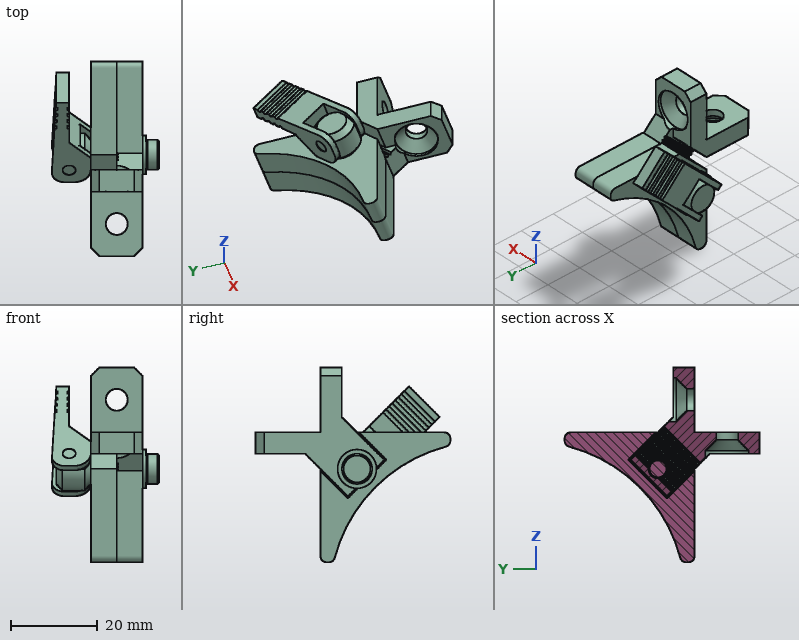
import cadquery as cq
import math

ACROSS = (1, 0, 0)
ALONG = (0, -1, -1)
DEPTH = (0, 1, -1)
AGAINST_ALONG = (0, 1, 1)

jaw_thickness = 6.0
jaw_length = 30.11
jaw_corner_cut = 12.0
tube_radius = 36.0
tube_axis_depth = 54.0
jaw_tip_radius = 1.5
stack_width = 2 * jaw_thickness

leg_thickness = 5.0
leg_length = 15.0
leg_chamfer = 2.0
leg_hole_diameter = 5.0
leg_hole_inset = 7.5
leg_bore_length = 1.8
sink_diameter = 10.0
tongue_width = 12.0
tongue_end_depth = 15.0
tongue_clearance = 0.3

tooth_pitch = 0.96
tooth_half_width = 0.38
tooth_height = 0.4
first_tooth_place = 4.47
tooth_count = int((tongue_end_depth - first_tooth_place) / tooth_pitch)

screw_depth = 12.0
screw_diameter = 4.0
screw_head_diameter = 7.0
screw_head_height = 3.0
screw_head_chamfer = 0.4
screw_tip_x = -3.0
clearance_diameter = 4.3
washer_diameter = 9.0
washer_thickness = 0.8

barrel_diameter = 10.0
barrel_length = 8.0
barrel_chamfer = 1.4
barrel_flat_width = 7.0
pin_diameter = 3.0
pin_x = -5.0
pin_protrusion = 0.25

lever_width = 10.0
lever_reach = 22.0
lever_grip_thickness = 3.0
lever_tip_x = -8.0
lever_back_x = -9.0
back_corner_radius = 3.0
cam_corner_radius = 4.0
fork_end = 4.0
window_back_end = -6.0
window_front_end = -6.6
grip_groove_diameter = 1.0
grip_groove_pitch = 2.0
grip_groove_count = 4


def side_plane(x=0.0, depth=0.0):
    """Plane across X with local axes along and depth."""
    shift = depth / math.sqrt(2)
    return cq.Workplane(cq.Plane(origin=(x, shift, -shift), xDir=ALONG, normal=ACROSS))


def lever_plane(depth):
    """Plane across the depth direction with local axes X and along."""
    shift = depth / math.sqrt(2)
    return cq.Workplane(cq.Plane(origin=(0, shift, -shift), xDir=ACROSS, normal=DEPTH))


def bolt_cylinder(diameter, x_start, length):
    return side_plane(x_start, screw_depth).circle(diameter / 2).extrude(length)


def jaw_blank(x_start):
    tube_axis = tube_axis_depth / math.sqrt(2)
    corner = jaw_corner_cut / math.sqrt(2)
    tip_width = tube_axis - math.sqrt(tube_radius**2 - (tube_axis - jaw_length) ** 2)
    arc_middle = (tube_axis_depth - tube_radius) / math.sqrt(2)
    return (
        cq.Workplane("YZ", origin=(x_start, 0, 0))
        .moveTo(corner, 0)
        .lineTo(jaw_length, 0)
        .lineTo(jaw_length, -tip_width)
        .threePointArc((arc_middle, -arc_middle), (tip_width, -jaw_length))
        .lineTo(0, -jaw_length)
        .lineTo(0, -corner)
        .close()
        .extrude(jaw_thickness)
        .edges("|X and (<Z or >Y)")
        .fillet(jaw_tip_radius)
    )


def make_lever_jaw():
    return jaw_blank(0).cut(bolt_cylinder(clearance_diameter, 0, jaw_thickness))


def make_screw_jaw():
    """Jaw with an open slot for the bracket tongue."""
    slot_width = tongue_width + 2 * tongue_clearance
    slot_end = tongue_end_depth + tongue_clearance
    slot = (
        side_plane(jaw_thickness)
        .rect(slot_width, 2 * slot_end)
        .extrude(jaw_thickness)
    )
    return jaw_blank(jaw_thickness).cut(slot)


def leg_hole(center, inward):
    """Countersunk hole from the inner face of a leg; its wide end also clears the tongue."""
    bore_radius = leg_hole_diameter / 2
    sink_radius = sink_diameter / 2
    sink_end = leg_bore_length + sink_radius - bore_radius
    far_end = leg_thickness + tongue_width / 2
    start = cq.Vector(*center)
    axis = cq.Vector(*inward)
    half_section = [
        (0, 0),
        (bore_radius, 0),
        (bore_radius, leg_bore_length),
        (sink_radius, sink_end),
        (sink_radius, far_end),
        (0, far_end),
    ]
    section_plane = cq.Plane(origin=start, xDir=ACROSS, normal=cq.Vector(*ACROSS).cross(axis))
    return (
        cq.Workplane(section_plane)
        .polyline(half_section)
        .close()
        .revolve(360, (0, 0, 0), (0, 1, 0))
    )


def make_bracket():
    legs = (
        cq.Workplane("YZ")
        .polyline(
            [
                (0, 0),
                (0, leg_length),
                (leg_thickness, leg_length),
                (leg_thickness, 0),
                (0, -leg_thickness),
                (-leg_length, -leg_thickness),
                (-leg_length, 0),
            ]
        )
        .close()
        .extrude(stack_width)
    )
    legs = legs.faces(">Z").edges("|Y").chamfer(leg_chamfer)
    legs = legs.faces("<Y").edges("|Z").chamfer(leg_chamfer)

    tongue = (
        side_plane(jaw_thickness, tongue_end_depth / 2)
        .rect(tongue_width, tongue_end_depth)
        .extrude(stack_width - jaw_thickness)
    )
    tongue = tongue.cut(bolt_cylinder(clearance_diameter, jaw_thickness, jaw_thickness))
    for index in range(tooth_count):
        center = first_tooth_place + index * tooth_pitch
        groove = (
            cq.Workplane(cq.Plane(origin=(0, 0, 0), xDir=ACROSS, normal=AGAINST_ALONG))
            .polyline(
                [
                    (jaw_thickness, center - tooth_half_width),
                    (jaw_thickness + tooth_height, center),
                    (jaw_thickness, center + tooth_half_width),
                ]
            )
            .close()
            .extrude(tongue_width / 2, both=True)
        )
        tongue = tongue.cut(groove)

    hole_offset = leg_length - leg_hole_inset
    center_x = stack_width / 2
    upper_hole = leg_hole((center_x, 0, hole_offset), (0, 1, 0))
    lower_hole = leg_hole((center_x, -hole_offset, 0), (0, 0, -1))
    return legs.union(tongue).cut(upper_hole).cut(lower_hole)


def pin_hole():
    return (
        lever_plane(screw_depth)
        .center(pin_x, 0)
        .circle(pin_diameter / 2)
        .extrude(lever_width, both=True)
    )


def make_lever():
    grip_inner_x = lever_tip_x + lever_grip_thickness
    body = (
        lever_plane(screw_depth)
        .moveTo(lever_tip_x, -lever_reach)
        .lineTo(grip_inner_x, -lever_reach)
        .lineTo(grip_inner_x, -cam_corner_radius + grip_inner_x)
        .lineTo(0, -cam_corner_radius)
        .lineTo(0, 0)
        .radiusArc((-cam_corner_radius, fork_end), -cam_corner_radius)
        .lineTo(lever_back_x + back_corner_radius, fork_end)
        .radiusArc((lever_back_x, fork_end - back_corner_radius), -back_corner_radius)
        .close()
        .extrude(lever_width / 2, both=True)
    )
    window = (
        lever_plane(screw_depth)
        .polyline(
            [
                (lever_back_x, window_back_end),
                (0, window_front_end),
                (0, fork_end),
                (lever_back_x, fork_end),
            ]
        )
        .close()
        .extrude(barrel_flat_width / 2, both=True)
    )
    lever = body.cut(window).cut(pin_hole())

    back_slope = (lever_back_x - lever_tip_x) / (fork_end - back_corner_radius + lever_reach)
    for index in range(grip_groove_count):
        from_tip = (index + 1) * grip_groove_pitch
        back_x = lever_tip_x + back_slope * from_tip
        grooves = (
            lever_plane(screw_depth)
            .pushPoints([(x, from_tip - lever_reach) for x in (back_x, grip_inner_x)])
            .circle(grip_groove_diameter / 2)
            .extrude(lever_width / 2, both=True)
        )
        lever = lever.cut(grooves)
    return lever


def make_barrel():
    """Flat-sided barrel nut that takes the screw and the hinge pin."""
    barrel = bolt_cylinder(barrel_diameter, -barrel_length, barrel_length)
    barrel = barrel.faces("<X or >X").chamfer(barrel_chamfer)
    flats = (
        side_plane(-barrel_length, screw_depth)
        .rect(barrel_diameter, barrel_flat_width)
        .extrude(barrel_length)
    )
    screw_hole = bolt_cylinder(screw_diameter, screw_tip_x, -screw_tip_x)
    return barrel.intersect(flats).cut(pin_hole()).cut(screw_hole)


def make_pin():
    return (
        lever_plane(screw_depth)
        .center(pin_x, 0)
        .circle(pin_diameter / 2)
        .extrude(lever_width / 2 + pin_protrusion, both=True)
        .edges()
        .fillet(pin_protrusion)
    )


def make_washer():
    disc = bolt_cylinder(washer_diameter, stack_width, washer_thickness)
    return disc.cut(bolt_cylinder(clearance_diameter, stack_width, washer_thickness))


def make_screw():
    head_x = stack_width + washer_thickness
    head = bolt_cylinder(screw_head_diameter, head_x, screw_head_height)
    head = head.edges().chamfer(screw_head_chamfer)
    return head.union(bolt_cylinder(screw_diameter, screw_tip_x, head_x - screw_tip_x))


lever_jaw = make_lever_jaw()
screw_jaw = make_screw_jaw()
bracket = make_bracket()
lever = make_lever()
barrel = make_barrel()
pin = make_pin()
washer = make_washer()
screw = make_screw()

result = cq.Compound.makeCompound(
    [
        lever_jaw.val(),
        screw_jaw.val(),
        bracket.val(),
        lever.val(),
        barrel.val(),
        pin.val(),
        washer.val(),
        screw.val(),
    ]
)